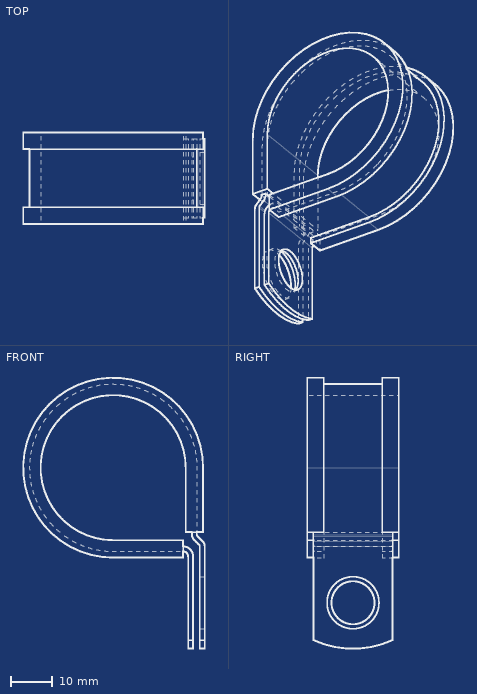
import cadquery as cq

cushion_radius = 21.7
cushion_wall = 4.25
cushion_width = 22.1
side_leg_end = -15.55
bottom_leg_end = 16.85
bore_radius = cushion_radius - cushion_wall

groove_depth = 1.5
groove_width = 14.0
strap_radius = cushion_radius - groove_depth

strap_thickness = 1.25
strap_width = 19.1
tab_end = cushion_radius - 65.4
inner_tab_x = 19.3
outer_tab_x = 22.1
jog_corner = -16.35
tight_bend = 0.5
wide_bend = tight_bend + strap_thickness
elbow_outside_bend = inner_tab_x - bottom_leg_end
elbow_inside_bend = elbow_outside_bend - strap_thickness
embed_length = 1.95

inner_hole_diameter = 10.3
outer_hole_diameter = 12.55
hole_height = 11.1
tip_sagitta = 2.1


def extrude_centred(profile, width):
    """Extrude an XZ profile symmetrically about the XZ plane."""
    return profile.extrude(width / 2, both=True)


def loop_solid(radius, width):
    """Three-quarter disc with a square corner, cut off at the leg ends."""
    profile = (
        cq.Workplane("XZ")
        .moveTo(radius, side_leg_end)
        .lineTo(radius, 0)
        .threePointArc((-radius * 0.5**0.5, radius * 0.5**0.5), (0, -radius))
        .lineTo(bottom_leg_end, -radius)
        .lineTo(bottom_leg_end, side_leg_end)
        .close()
    )
    return extrude_centred(profile, width)


def make_cushion():
    rim_width = (cushion_width - groove_width) / 2
    rim_offset = (cushion_width - rim_width) / 2
    body = loop_solid(strap_radius, groove_width)
    for side in (-1, 1):
        rim = loop_solid(cushion_radius, rim_width)
        body = body.union(rim.translate((0, side * rim_offset, 0)))

    bore = cq.Workplane("XZ").circle(bore_radius)
    corner = (
        cq.Workplane("XZ")
        .moveTo(0, 0)
        .lineTo(bore_radius, 0)
        .lineTo(bore_radius, side_leg_end)
        .lineTo(bottom_leg_end, side_leg_end)
        .lineTo(bottom_leg_end, -bore_radius)
        .lineTo(0, -bore_radius)
        .close()
    )
    body = body.cut(extrude_centred(bore, cushion_width))
    return body.cut(extrude_centred(corner, cushion_width))


def round_edge(tab, x, z, radius):
    """Round the bend line running along Y through (x, z)."""
    edge = tab.edges(cq.selectors.NearestToPointSelector((x, 0, z)))
    return edge.fillet(radius)


def make_outer_tab():
    """Strap leaving the vertical leg with a 45 degree outward jog."""
    jog = outer_tab_x - strap_radius
    inside_shift = strap_thickness * (2**0.5 - 1)
    strap_inside = strap_radius - strap_thickness
    tab_inside = outer_tab_x - strap_thickness
    top = side_leg_end + embed_length
    bends = [
        (strap_radius, jog_corner, tight_bend),
        (outer_tab_x, jog_corner - jog, wide_bend),
        (tab_inside, jog_corner - jog - inside_shift, tight_bend),
        (strap_inside, jog_corner - inside_shift, wide_bend),
    ]
    profile = (
        cq.Workplane("XZ")
        .moveTo(strap_inside, top)
        .lineTo(strap_radius, top)
        .lineTo(*bends[0][:2])
        .lineTo(*bends[1][:2])
        .lineTo(outer_tab_x, tab_end)
        .lineTo(tab_inside, tab_end)
        .lineTo(*bends[2][:2])
        .lineTo(*bends[3][:2])
        .close()
    )
    tab = extrude_centred(profile, strap_width)
    for x, z, radius in bends:
        tab = round_edge(tab, x, z, radius)
    return tab


def make_inner_tab():
    """Strap leaving the horizontal leg with a right-angle elbow."""
    tab_inside = inner_tab_x - strap_thickness
    strap_top = strap_thickness - strap_radius
    start = bottom_leg_end - embed_length
    profile = (
        cq.Workplane("XZ")
        .moveTo(start, strap_top)
        .lineTo(inner_tab_x, strap_top)
        .lineTo(inner_tab_x, tab_end)
        .lineTo(tab_inside, tab_end)
        .lineTo(tab_inside, -strap_radius)
        .lineTo(start, -strap_radius)
        .close()
    )
    tab = extrude_centred(profile, strap_width)
    tab = round_edge(tab, inner_tab_x, strap_top, elbow_outside_bend)
    return round_edge(tab, tab_inside, -strap_radius, elbow_inside_bend)


def make_tab_outline(hole_diameter):
    """Block along X with the rounded tab end and the bolt hole."""
    half_width = strap_width / 2
    shoulder = tab_end + tip_sagitta
    outline = (
        cq.Workplane("YZ")
        .moveTo(-half_width, 0)
        .lineTo(-half_width, shoulder)
        .threePointArc((0, tab_end), (half_width, shoulder))
        .lineTo(half_width, 0)
        .close()
        .extrude(outer_tab_x)
    )
    hole = (
        cq.Workplane("YZ")
        .center(0, tab_end + hole_height)
        .circle(hole_diameter / 2)
        .extrude(outer_tab_x)
    )
    return outline.cut(hole)


result = make_cushion()
result = result.union(make_outer_tab().intersect(make_tab_outline(outer_hole_diameter)))
result = result.union(make_inner_tab().intersect(make_tab_outline(inner_hole_diameter)))